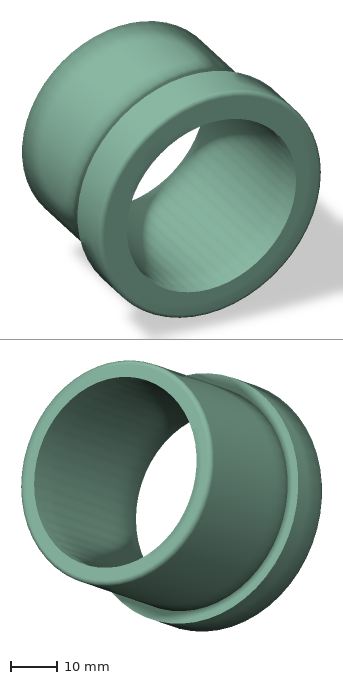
import cadquery as cq

total_length = 40.0
flange_thickness = 10.0
flange_diameter = 55.0
sleeve_diameter = 49.5
bore_diameter = 41.91
edge_radius = 1.0

sleeve_length = total_length - flange_thickness


def cylinder_along_x(diameter, start_x, length):
    return cq.Workplane("YZ").workplane(offset=start_x).circle(diameter / 2).extrude(length)


sleeve = cylinder_along_x(sleeve_diameter, 0, total_length)
sleeve = sleeve.faces("<X").edges().fillet(edge_radius)

flange = cylinder_along_x(flange_diameter, sleeve_length, flange_thickness)
flange = flange.faces(">X").edges().fillet(edge_radius)

bore = cylinder_along_x(bore_diameter, 0, total_length)

result = sleeve.union(flange).cut(bore)